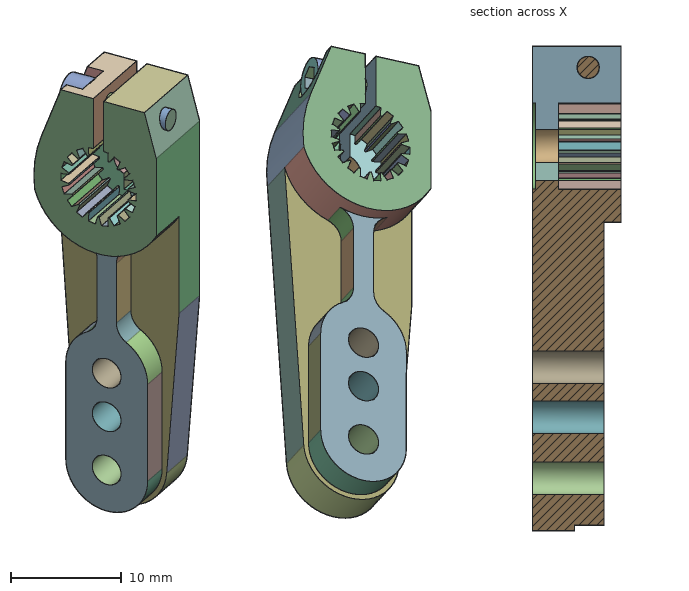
import cadquery as cq
import math


overall_length = 43.75
body_depth = 8.0
plate_thickness = 3.8
rib_height = 2.65

top_z = 9.0
head_radius = 6.9
right_side_x = 6.0
right_flank_top_x = 4.75
right_flank_bottom_z = 4.6
left_flank_top = (-3.9, top_z)
left_flank_bottom = (-5.9, 3.68)
left_side_x = -6.6
left_side_z = -math.sqrt(head_radius**2 - left_side_x**2)

tip_radius = 4.72
tip_z = tip_radius + top_z - overall_length
right_taper_start_z = -13.48

pad_radius = 4.25
neck_half_width = 1.0
neck_blend_radius = 1.95

lever_hole_radius = 1.5
lever_hole_zs = (-20.0, -24.5, tip_z)

spline_count = 18
spline_inner_radius = 3.1
spline_outer_radius = 3.9
groove_root_width = 0.7
groove_mouth_width = 0.9
spline_depth = 5.65
bore_radius = 1.58
back_recess_radius = spline_outer_radius
back_recess_depth = 0.25
slot_width = 1.05
slot_bottom_z = -spline_inner_radius

screw_y = 2.98
screw_z = 7.1
shank_radius = 1.0
shank_end_x = 5.8
screw_head_radius = 1.9
screw_head_left_x = -4.72
pocket_radius = 1.92
pocket_floor_x = -2.25
hex_across_flats = 1.95
hex_depth = 1.4


def section_from_back():
    """Sketch plane on the back face; extrusions run towards the front."""
    return cq.Workplane("XZ", origin=(0, body_depth, 0))


def section_from_front():
    """Sketch plane on the front face; negative extrusions run into the body."""
    return cq.Workplane("XZ")


def tip_tangent_point(point, side):
    """Where the line from `point` touches the tip circle; side is +1 right, -1 left."""
    dx = point[0]
    dz = point[1] - tip_z
    angle = math.atan2(dz, dx) - side * math.acos(tip_radius / math.hypot(dx, dz))
    return (tip_radius * math.cos(angle), tip_z + tip_radius * math.sin(angle))


def make_head():
    right_corner_z = -math.sqrt(head_radius**2 - right_side_x**2)
    return (
        section_from_back()
        .moveTo(*left_flank_top)
        .lineTo(*left_flank_bottom)
        .tangentArcPoint((left_side_x, left_side_z), relative=False)
        .threePointArc((0, -head_radius), (right_side_x, right_corner_z))
        .lineTo(right_side_x, right_flank_bottom_z)
        .lineTo(right_flank_top_x, top_z)
        .close()
        .extrude(body_depth)
    )


def make_plate():
    left_start = (left_side_x, left_side_z)
    right_start = (right_side_x, right_taper_start_z)
    return (
        section_from_back()
        .moveTo(right_side_x, 0)
        .lineTo(*right_start)
        .lineTo(*tip_tangent_point(right_start, 1))
        .threePointArc((0, tip_z - tip_radius), tip_tangent_point(left_start, -1))
        .lineTo(*left_start)
        .lineTo(0, 0)
        .close()
        .extrude(plate_thickness)
    )


def blend_offset(circle_radius):
    """Distance along Z from a circle's centre to the centre of its blend into the neck."""
    return math.sqrt(
        (circle_radius + neck_blend_radius) ** 2 - (neck_half_width + neck_blend_radius) ** 2
    )


def blend_touch(circle_radius):
    """Point, from the circle's centre, where the neck blend touches that circle."""
    share = circle_radius / (circle_radius + neck_blend_radius)
    return (
        share * (neck_half_width + neck_blend_radius),
        share * blend_offset(circle_radius),
    )


def make_rib():
    pad_top_z = lever_hole_zs[0]
    pad_touch_x, pad_touch_dz = blend_touch(pad_radius)
    head_touch_x, head_touch_dz = blend_touch(head_radius)
    return (
        section_from_back()
        .moveTo(0, tip_z - pad_radius)
        .radiusArc((pad_radius, tip_z), -pad_radius)
        .lineTo(pad_radius, pad_top_z)
        .tangentArcPoint((pad_touch_x, pad_top_z + pad_touch_dz), relative=False)
        .tangentArcPoint((neck_half_width, pad_top_z + blend_offset(pad_radius)), relative=False)
        .lineTo(neck_half_width, -blend_offset(head_radius))
        .tangentArcPoint((head_touch_x, -head_touch_dz), relative=False)
        .lineTo(0, -head_touch_dz)
        .mirrorY()
        .extrude(plate_thickness + rib_height)
    )


def make_lever_holes():
    return (
        section_from_back()
        .pushPoints([(0, z) for z in lever_hole_zs])
        .circle(lever_hole_radius)
        .extrude(body_depth)
    )


def make_splined_socket():
    socket = section_from_front().circle(spline_inner_radius).extrude(-spline_depth)
    groove_start = math.sqrt(spline_inner_radius**2 - (groove_mouth_width / 2) ** 2)
    groove = (
        section_from_front()
        .polyline(
            [
                (0, -groove_mouth_width / 2),
                (groove_start, -groove_mouth_width / 2),
                (spline_outer_radius, -groove_root_width / 2),
                (spline_outer_radius, groove_root_width / 2),
                (groove_start, groove_mouth_width / 2),
                (0, groove_mouth_width / 2),
            ]
        )
        .close()
        .extrude(-spline_depth)
    )
    for index in range(spline_count):
        socket = socket.union(groove.rotate((0, 0, 0), (0, 1, 0), index * 360 / spline_count))
    bore = section_from_back().circle(bore_radius).extrude(body_depth)
    return socket.union(bore)


def make_back_recess():
    return section_from_back().circle(back_recess_radius).extrude(back_recess_depth)


def make_slot():
    slot_height = top_z - slot_bottom_z
    return (
        section_from_back()
        .center(0, slot_bottom_z + slot_height / 2)
        .rect(slot_width, slot_height)
        .extrude(body_depth)
    )


def screw_section(x):
    """Sketch plane across the screw axis at the given X."""
    return cq.Workplane("YZ", origin=(x, screw_y, screw_z))


def make_screw_pocket():
    """Round-bottomed pocket that opens to the top and to the left flank."""
    pocket_length = pocket_floor_x - left_side_x
    height_to_top = top_z - screw_z
    bottom = screw_section(left_side_x).circle(pocket_radius).extrude(pocket_length)
    opening = (
        screw_section(left_side_x)
        .center(0, height_to_top / 2)
        .rect(2 * pocket_radius, height_to_top)
        .extrude(pocket_length)
    )
    return bottom.union(opening)


def make_screw():
    hex_corner_diameter = hex_across_flats / math.cos(math.pi / 6)
    head = (
        screw_section(screw_head_left_x)
        .circle(screw_head_radius)
        .extrude(pocket_floor_x - screw_head_left_x)
    )
    shank = (
        screw_section(pocket_floor_x).circle(shank_radius).extrude(shank_end_x - pocket_floor_x)
    )
    hex_socket = (
        screw_section(screw_head_left_x)
        .transformed(rotate=(0, 0, 90))
        .polygon(6, hex_corner_diameter)
        .extrude(hex_depth)
    )
    return head.union(shank).cut(hex_socket)


horn = make_head().union(make_plate()).union(make_rib())
horn = horn.cut(make_lever_holes())
horn = horn.cut(make_splined_socket()).cut(make_back_recess()).cut(make_slot())
result = horn.cut(make_screw_pocket()).union(make_screw())